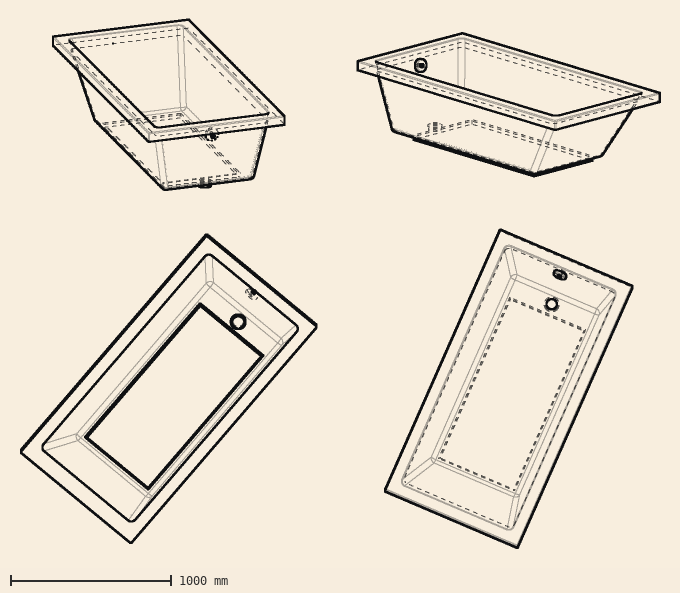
import cadquery as cq
import math

LENGTH = 1800.0
WIDTH = 900.0
HEIGHT = 488.0

RIM_THICKNESS = 60.0
RIM_EDGE_RADIUS = 6.3
WALL = 8.1
TUB_BOTTOM = 27.0
STEEP_ANGLE = 10.0
BACKREST_ANGLE = 32.7
TOP_HALF_WIDTH = 383.0
TOP_BACKREST_X = -837.0
TOP_DRAIN_END_X = 835.0
OUTER_RADIUS = 32.0
INNER_RADIUS = 30.0

FLARE = 7.0

BOARD_X_MIN = -497.0
BOARD_X_MAX = 601.0
BOARD_WIDTH = 500.0

DRAIN_X = 671.0
DRAIN_CAP_RADIUS = 32.0
DRAIN_FLANGE_RADIUS = 40.0
DRAIN_CAP_EDGE = 2.0
DRAIN_DOME_RISE = 5.0

OVERFLOW_Z = 387.0
OVERFLOW_CAP_RADIUS = 41.0
OVERFLOW_CAP_THICKNESS = 20.0
OVERFLOW_CAP_EDGE_RADIUS = 5.0
OVERFLOW_STUB_RADIUS = 10.0
OVERFLOW_STUB_REACH = 15.0
SCREW_HOLE_RADIUS = 10.0
SCREW_HOLE_DEPTH = 5.0

STEEP_SLOPE = math.tan(math.radians(STEEP_ANGLE))
BACKREST_SLOPE = math.tan(math.radians(BACKREST_ANGLE))
FLOOR_Z = TUB_BOTTOM + WALL


def tapered_block(inset, bottom, edge_radius):
    """Block inside the four basin planes moved inwards by inset, with rounded corners and floor edges."""
    depth = HEIGHT - bottom
    steep_inset = inset / math.cos(math.radians(STEEP_ANGLE))
    backrest_inset = inset / math.cos(math.radians(BACKREST_ANGLE))
    x_min = TOP_BACKREST_X + backrest_inset
    x_max = TOP_DRAIN_END_X - steep_inset
    y_max = TOP_HALF_WIDTH - steep_inset
    y_floor = y_max - depth * STEEP_SLOPE

    lengthwise = (
        cq.Workplane("XZ")
        .polyline([
            (x_min, HEIGHT),
            (x_max, HEIGHT),
            (x_max - depth * STEEP_SLOPE, bottom),
            (x_min + depth * BACKREST_SLOPE, bottom),
        ])
        .close()
        .extrude(WIDTH / 2, both=True)
    )
    crosswise = (
        cq.Workplane("YZ")
        .polyline([
            (-y_max, HEIGHT),
            (y_max, HEIGHT),
            (y_floor, bottom),
            (-y_floor, bottom),
        ])
        .close()
        .extrude(LENGTH / 2, both=True)
    )
    return lengthwise.intersect(crosswise).edges("not >Z").fillet(edge_radius)


def rim_slab():
    slab = cq.Workplane("XY", origin=(0, 0, HEIGHT - RIM_THICKNESS)).box(
        LENGTH, WIDTH, RIM_THICKNESS, centered=(True, True, False)
    )
    return slab.edges("|Z or >Z").fillet(RIM_EDGE_RADIUS)


def overflow_plane():
    """Plane on the inner drain-end wall surface, with its normal pointing out of the tub."""
    lean = math.radians(STEEP_ANGLE)
    wall_x = TOP_DRAIN_END_X - WALL / math.cos(lean) - (HEIGHT - OVERFLOW_Z) * STEEP_SLOPE
    return cq.Plane(
        origin=(wall_x, 0, OVERFLOW_Z),
        xDir=(0, 1, 0),
        normal=(math.cos(lean), 0, -math.sin(lean)),
    )


def make_tub():
    basin = tapered_block(0, TUB_BOTTOM, OUTER_RADIUS)
    cavity = tapered_block(WALL, FLOOR_Z, INNER_RADIUS)
    tub = rim_slab().union(basin).cut(cavity)
    tub = tub.faces(">Z").wires(cq.selectors.AreaNthSelector(0)).edges().fillet(RIM_EDGE_RADIUS)
    drain_hole = cq.Workplane("XY").center(DRAIN_X, 0).circle(DRAIN_CAP_RADIUS).extrude(2 * FLOOR_Z)
    overflow_hole = cq.Workplane(overflow_plane()).circle(OVERFLOW_STUB_RADIUS).extrude(2 * WALL)
    return tub.cut(drain_hole).cut(overflow_hole)


def make_base_board():
    board = cq.Workplane("XY", origin=((BOARD_X_MIN + BOARD_X_MAX) / 2, 0, 0)).box(
        BOARD_X_MAX - BOARD_X_MIN, BOARD_WIDTH, TUB_BOTTOM, centered=(True, True, False)
    )
    flare = (
        cq.Workplane("XY", origin=((BOARD_X_MIN + BOARD_X_MAX) / 2, 0, TUB_BOTTOM))
        .rect(BOARD_X_MAX - BOARD_X_MIN + 2 * FLARE, BOARD_WIDTH + 2 * FLARE)
        .extrude(-FLARE, taper=45)
    )
    return board.union(flare)


def make_drain():
    edge_z = FLOOR_Z + DRAIN_CAP_EDGE
    dome_z = edge_z + DRAIN_DOME_RISE
    dome_radius = (DRAIN_CAP_RADIUS**2 + DRAIN_DOME_RISE**2) / (2 * DRAIN_DOME_RISE)
    half_x = DRAIN_CAP_RADIUS / 2
    half_z = dome_z - dome_radius + math.sqrt(dome_radius**2 - half_x**2)
    return (
        cq.Workplane("XZ", origin=(DRAIN_X, 0, 0))
        .lineTo(DRAIN_FLANGE_RADIUS, 0)
        .lineTo(DRAIN_FLANGE_RADIUS, TUB_BOTTOM - FLARE)
        .lineTo(DRAIN_FLANGE_RADIUS + FLARE, TUB_BOTTOM)
        .lineTo(DRAIN_CAP_RADIUS, TUB_BOTTOM)
        .lineTo(DRAIN_CAP_RADIUS, edge_z)
        .threePointArc((half_x, half_z), (0, dome_z))
        .close()
        .revolve(360, (0, 0, 0), (0, 1, 0))
    )


def make_overflow():
    plane = overflow_plane()
    cap = (
        cq.Workplane(plane)
        .circle(OVERFLOW_CAP_RADIUS)
        .extrude(-OVERFLOW_CAP_THICKNESS)
        .faces("<X")
        .edges()
        .fillet(OVERFLOW_CAP_EDGE_RADIUS)
    )
    stub = cq.Workplane(plane).circle(OVERFLOW_STUB_RADIUS).extrude(WALL + OVERFLOW_STUB_REACH)
    screw_hole = (
        cq.Workplane(plane)
        .workplane(offset=-OVERFLOW_CAP_THICKNESS)
        .circle(SCREW_HOLE_RADIUS)
        .extrude(SCREW_HOLE_DEPTH)
    )
    return cap.union(stub).cut(screw_hole)


tub = make_tub()
base_board = make_base_board()
drain = make_drain()
overflow = make_overflow()

result = cq.Compound.makeCompound([tub.val(), base_board.val(), drain.val(), overflow.val()])